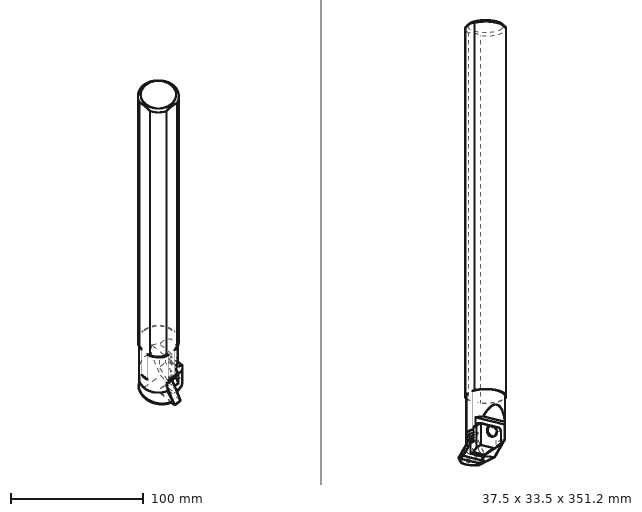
import cadquery as cq
import math


overall_length = 351.2
shank_radius = 15.5
flat_distance = 14.5
end_chamfer = 2.0

head_radius = 14.8
head_top = 53.5
flat_bottom = 22.5

flare_top = 10.0
lip_radius = 17.5
lip_x = 3.0
lip_y = -0.5
lip_z = 5.0
lip_tilt = 7.0
lip_thickness = 2.5
lip_taper = 20.0

relief_top_z = 21.8
relief_angle = 60.0

seat_y = 6.0
seat_top = 31.5
ramp_top = 44.0
ramp_y = 11.0

tip_x = 22.0
insert_side = 19.0
insert_face_y = 2.0
insert_thickness = 6.3
tip_angle = 60.0

clamp_left = -5.3
clamp_right = 15.5
clamp_reach = 18.3
clamp_nose_z = 3.0
clamp_nose_left = 5.3
clamp_flat_bottom = 12.3
clamp_flat_top = 23.2
clamp_top = 27.7
clamp_face_y = 12.5
clamp_top_bevel = 2.8
clamp_nose_bevel = 4.2
boss_diameter = 8.5
boss_x = 3.5
boss_z = 20.5
boss_face_y = 13.7

far = 3 * shank_radius


def prism_along_y(points, y_start, y_end):
    """Prism of an XZ outline between two Y positions."""
    plane = cq.Workplane("XZ", origin=(0, y_start, 0))
    return plane.polyline(points).close().extrude(y_start - y_end)


def prism_along_x(points, x_start, x_end):
    """Prism of a YZ outline between two X positions."""
    plane = cq.Workplane("YZ", origin=(x_start, 0, 0))
    return plane.polyline(points).close().extrude(x_end - x_start)


def make_round_bar():
    shank = (
        cq.Workplane("XY", origin=(0, 0, head_top))
        .circle(shank_radius)
        .extrude(overall_length - head_top)
        .faces(">Z")
        .chamfer(end_chamfer)
    )
    head = (
        cq.Workplane("XY", origin=(0, 0, flare_top))
        .circle(head_radius)
        .extrude(head_top - flare_top)
    )
    return shank.union(head)


def cut_flats(bar):
    height = overall_length - flat_bottom
    block = cq.Workplane("XY").box(far, 2 * far, height, centered=(False, True, False))
    side_flat = block.translate((flat_distance, 0, flat_bottom))
    front_flat = side_flat.rotate((0, 0, 0), (0, 0, 1), -90)
    return bar.cut(side_flat).cut(front_flat)


def make_lip():
    """Oblique flare from the round head to an offset, tilted lip."""
    tilt = math.radians(lip_tilt)
    lip_center = cq.Vector(lip_x, lip_y, lip_z)
    normal = cq.Vector(math.sin(tilt), 0, math.cos(tilt))
    lip_edge = cq.Wire.makeCircle(lip_radius, lip_center, normal)
    head_edge = cq.Wire.makeCircle(head_radius, cq.Vector(0, 0, flare_top), cq.Vector(0, 0, 1))
    flare = cq.Workplane(obj=cq.Solid.makeLoft([lip_edge, head_edge], True))
    underside_plane = cq.Plane(origin=lip_center, xDir=(0, 1, 0), normal=normal * -1)
    underside = (
        cq.Workplane(underside_plane)
        .circle(lip_radius)
        .extrude(lip_thickness, taper=lip_taper)
    )
    return flare.union(underside)


def make_side_relief():
    run = relief_top_z / math.tan(math.radians(relief_angle))
    slope = [
        (-head_radius - run, 2 * relief_top_z),
        (-head_radius + 2 * run, -relief_top_z),
        (-far, -relief_top_z),
    ]
    return prism_along_y(slope, -far, far)


def make_clamp_seat():
    step = [
        (seat_y, -seat_top),
        (seat_y, seat_top),
        (ramp_y, seat_top),
        (shank_radius, ramp_top),
        (far, ramp_top),
        (far, -seat_top),
    ]
    return prism_along_x(step, -far, far)


def make_insert():
    angle = math.radians(tip_angle)
    triangle = [
        (tip_x, 0),
        (tip_x - insert_side, 0),
        (tip_x - insert_side * math.cos(angle), insert_side * math.sin(angle)),
    ]
    return prism_along_y(triangle, insert_face_y - insert_thickness, insert_face_y)


def make_insert_opening():
    """Space above the insert face, up to the clamp seat."""
    return make_insert().translate((0, insert_thickness, 0))


def make_tip_clearance():
    """Room beyond the outer edge of the insert, so its tip stands clear of the lip."""
    run = flare_top / math.tan(math.radians(tip_angle))
    beyond_edge = [
        (tip_x + run, -flare_top),
        (tip_x - 2 * run, 2 * flare_top),
        (far, 2 * flare_top),
        (far, -flare_top),
    ]
    return prism_along_y(beyond_edge, insert_face_y - insert_thickness, seat_y)


def make_bar():
    bar = cut_flats(make_round_bar()).union(make_lip())
    bar = bar.cut(make_side_relief()).cut(make_clamp_seat())
    return bar.cut(make_insert()).cut(make_insert_opening()).cut(make_tip_clearance())


def make_clamp():
    corner = clamp_top - clamp_flat_top
    outline = [
        (clamp_left, clamp_flat_bottom),
        (clamp_left, clamp_flat_top),
        (clamp_left + corner, clamp_top),
        (clamp_right - corner, clamp_top),
        (clamp_right, clamp_flat_top),
        (clamp_right, clamp_nose_z),
        (clamp_nose_left, clamp_nose_z),
    ]
    profile = [
        (seat_y, clamp_nose_z),
        (seat_y, clamp_top),
        (clamp_face_y, clamp_top - clamp_top_bevel),
        (clamp_face_y, clamp_nose_z + clamp_nose_bevel),
    ]
    body = prism_along_y(outline, seat_y, clamp_face_y)
    body = body.intersect(prism_along_x(profile, clamp_left, clamp_right))
    boss = (
        cq.Workplane("XZ", origin=(boss_x, clamp_face_y, boss_z))
        .circle(boss_diameter / 2)
        .extrude(clamp_face_y - boss_face_y)
    )
    reach = prism_along_y(outline, insert_face_y, seat_y)
    foot = make_insert_opening().intersect(reach)
    envelope = cq.Workplane("XY").circle(clamp_reach).extrude(seat_top)
    return body.union(boss).union(foot).intersect(envelope)


bar = make_bar()
insert = make_insert()
clamp = make_clamp()

bodies = [bar, insert, clamp]
result = cq.Compound.makeCompound([body.solids().val() for body in bodies])